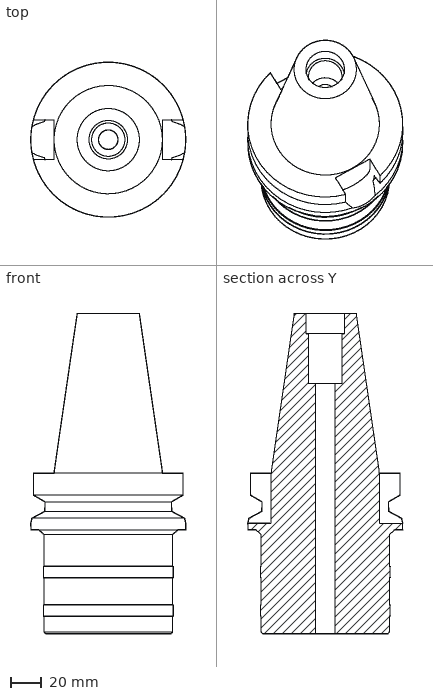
import cadquery as cq

total_height = 206.8

taper_ratio = 7 / 24
taper_base_radius = 35.0
taper_base_z = 105.0
taper_tip_radius = taper_base_radius - (total_height - taper_base_z) * taper_ratio / 2

flange_radius = 50.0
flange_top_z = 103.8
groove_radius = 42.8
groove_upper_rim_z = 89.5
groove_upper_z = 85.2
groove_lower_z = 79.0
groove_lower_rim_z = 74.7
flange_bottom_z = 67.2
neck_radius = 45.0
neck_bottom_z = 64.1

body_radius = 41.5
bottom_chamfer = 1.2
band_radius = 42.0
band_height = 7.9
band_bottoms = (11.2, 36.0)
band_chamfer = 0.5

slot_width = 25.6
slot_floor_x = 35.2
slot_bottom_z = 71.5

mouth_radius = 12.5
mouth_depth = 13.0
thread_radius = 10.8
thread_depth = 45.0
through_radius = 6.2


def revolved_holder():
    """Solid of revolution from the half section in the XZ plane."""
    profile = [
        (0, 0),
        (body_radius - bottom_chamfer, 0),
        (body_radius, bottom_chamfer),
        (body_radius, neck_bottom_z),
        (neck_radius, flange_bottom_z),
        (flange_radius, flange_bottom_z),
        (flange_radius, groove_lower_rim_z),
        (groove_radius, groove_lower_z),
        (groove_radius, groove_upper_z),
        (flange_radius, groove_upper_rim_z),
        (flange_radius, flange_top_z),
        (taper_base_radius, flange_top_z),
        (taper_base_radius, taper_base_z),
        (taper_tip_radius, total_height),
        (0, total_height),
    ]
    return cq.Workplane("XZ").polyline(profile).close().revolve(360, (0, 0), (0, 1))


def band(bottom_z):
    """Raised ring around the body with both edges broken."""
    ring = cq.Workplane("XY").workplane(offset=bottom_z).circle(band_radius).extrude(band_height)
    return ring.edges().chamfer(band_chamfer)


def drive_slot(side):
    """Round-bottomed slot cutter, on +X for side 1 and on -X for side -1."""
    slot_radius = slot_width / 2
    arc_center_z = slot_bottom_z + slot_radius
    depth = flange_radius - slot_floor_x
    return (
        cq.Workplane("YZ")
        .workplane(offset=side * slot_floor_x)
        .moveTo(-slot_radius, flange_top_z)
        .lineTo(-slot_radius, arc_center_z)
        .threePointArc((0, slot_bottom_z), (slot_radius, arc_center_z))
        .lineTo(slot_radius, flange_top_z)
        .close()
        .extrude(side * depth)
    )


def bore(radius, depth):
    """Cylindrical cutter going down from the top face."""
    return cq.Workplane("XY").workplane(offset=total_height).circle(radius).extrude(-depth)


result = revolved_holder()
for bottom_z in band_bottoms:
    result = result.union(band(bottom_z))
for side in (-1, 1):
    result = result.cut(drive_slot(side))
for radius, depth in (
    (mouth_radius, mouth_depth),
    (thread_radius, thread_depth),
    (through_radius, total_height),
):
    result = result.cut(bore(radius, depth))